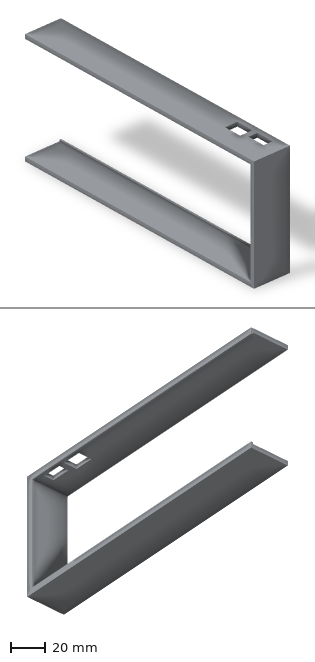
import cadquery as cq

length = 199.8
depth = 28.0
height = 85.0

wall = 3.2
lip_rise = 1.2
lip_thickness = 1.2

window_length = 13.2
window_back = 23.8
windows = [
    (171.8, window_back, window_length, 9.5),
    (189.2, window_back, window_length, 6.8),
]


def u_frame(thickness, frame_depth):
    """U-shaped frame, open toward -X, starting at Y = 0."""
    outer = cq.Workplane("XY").box(length, frame_depth, height, centered=False)
    opening = (
        cq.Workplane("XY")
        .box(length - thickness, frame_depth, height - 2 * thickness, centered=False)
        .translate((0, 0, thickness))
    )
    return outer.cut(opening)


def window_cutter(right, back, size_x, size_y):
    """Rectangular block centred on the top face and passing through the top arm."""
    cut_height = 4 * wall
    return (
        cq.Workplane("XY")
        .box(size_x, size_y, cut_height, centered=(False, False, True))
        .translate((right - size_x, back - size_y, height))
    )


frame = u_frame(wall, depth)
back_lip = u_frame(wall + lip_rise, lip_thickness).translate((0, depth - lip_thickness, 0))
result = frame.union(back_lip)
for window in windows:
    result = result.cut(window_cutter(*window))